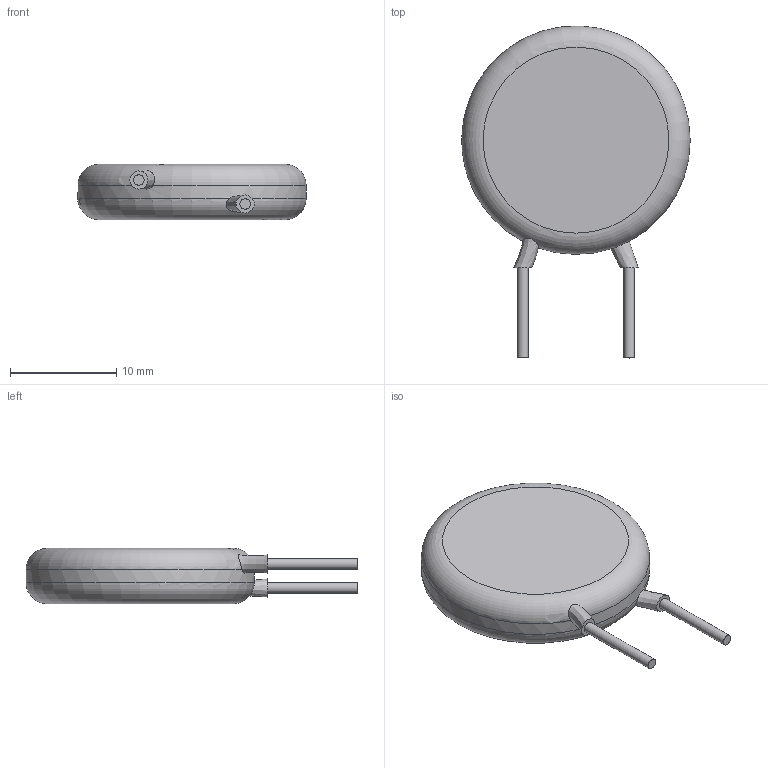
import cadquery as cq

disc_diameter = 21.5
disc_thickness = 5.21
rim_radius = 2.0

lead_diameter = 1.0
lead_spacing = 10.0
lead_height = 1.13
lead_tip_y = -20.5

sleeve_diameter = 1.7
sleeve_end_y = -12.0

left_lean_slope = 0.42
left_root_y = -8.5
left_root_shift = 0.85

right_root_y = -9.5
right_root_shift = 1.05
right_root_width = 2.1
right_root_height = 1.4

left_x = -lead_spacing / 2
right_x = lead_spacing / 2
left_z = lead_height
right_z = -lead_height


def make_disc():
    """Flat disc with fully rounded top and bottom rims."""
    disc = cq.Workplane("XY", origin=(0, 0, -disc_thickness / 2))
    disc = disc.circle(disc_diameter / 2).extrude(disc_thickness)
    return disc.faces("|Z").edges().fillet(rim_radius)


def section_plane(x, y, z):
    """Workplane square to Y, with its normal toward +Y."""
    return cq.Workplane(cq.Plane(origin=(x, y, z), xDir=(1, 0, 0), normal=(0, 1, 0)))


def make_lead(x, z):
    """Straight round wire from the tip to the sleeve end."""
    tip = section_plane(x, lead_tip_y, z)
    return tip.circle(lead_diameter / 2).extrude(sleeve_end_y - lead_tip_y)


def make_left_sleeve():
    """Round sleeve swept along a curve that leans inward, then straightens."""
    centre_line = (
        cq.Workplane("XY", origin=(0, 0, left_z))
        .moveTo(left_x, sleeve_end_y)
        .spline(
            [(left_x + left_root_shift, left_root_y)],
            tangents=[(left_lean_slope, 1), (0, 1)],
            includeCurrent=True,
        )
    )
    return section_plane(left_x, sleeve_end_y, left_z).circle(sleeve_diameter / 2).sweep(centre_line)


def make_right_sleeve():
    """Leaning sleeve lofted from a round end to an oval root."""
    return (
        section_plane(right_x, sleeve_end_y, right_z)
        .circle(sleeve_diameter / 2)
        .workplane(offset=right_root_y - sleeve_end_y)
        .center(-right_root_shift, 0)
        .ellipse(right_root_width / 2, right_root_height / 2)
        .loft(ruled=True)
    )


result = make_disc().union(make_left_sleeve()).union(make_right_sleeve())
for x, z in ((left_x, left_z), (right_x, right_z)):
    result = result.union(make_lead(x, z))